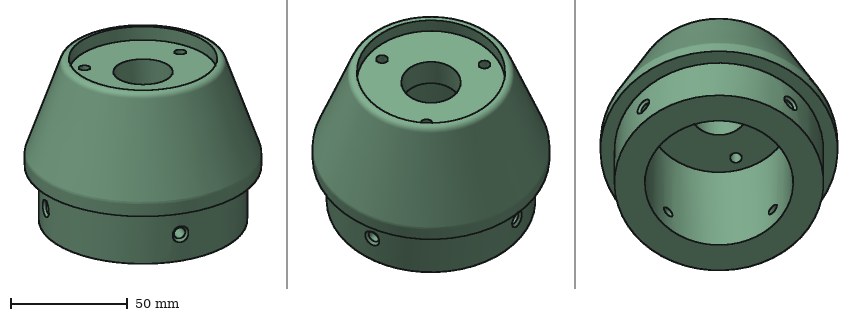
import cadquery as cq

total_height = 76.2
flange_diameter = 101.6
top_diameter = 69.85
edge_radius = 3.175

spigot_diameter = 89.53
spigot_radius = spigot_diameter / 2
spigot_height = 25.4
flange_thickness = 6.35
cone_start_height = spigot_height + flange_thickness

recess_diameter = 63.5
recess_depth = 6.35
web_thickness = 12.7
cavity_diameter = recess_diameter
web_top = total_height - recess_depth
web_bottom = web_top - web_thickness

center_hole_diameter = 25.4
bolt_hole_diameter = 4.98
bolt_circle_diameter = 50.8
bolt_hole_count = 3

radial_hole_diameter = 5.11
countersink_diameter = 7.62
countersink_depth = (countersink_diameter - radial_hole_diameter) / 2
radial_hole_height = spigot_height / 2
radial_hole_count = 4


def make_body():
    """Revolved spigot, flange and cone with rounded cone edges."""
    flange_radius = flange_diameter / 2
    profile = (
        cq.Workplane("XZ")
        .moveTo(0, 0)
        .lineTo(spigot_radius, 0)
        .lineTo(spigot_radius, spigot_height)
        .lineTo(flange_radius, spigot_height)
        .lineTo(flange_radius, cone_start_height)
        .lineTo(top_diameter / 2, total_height)
        .lineTo(0, total_height)
        .close()
    )
    body = profile.revolve(360, (0, 0, 0), (0, 1, 0))
    body = body.faces(">Z").edges().fillet(edge_radius)
    cone_base_band = cq.selectors.BoxSelector(
        (-flange_radius, -flange_radius, spigot_height + flange_thickness / 2),
        (flange_radius, flange_radius, cone_start_height + flange_thickness / 2),
    )
    return body.edges("%CIRCLE").edges(cone_base_band).fillet(edge_radius)


def vertical_cylinder(diameter, bottom, top):
    """Cylinder on the part axis between two heights."""
    return cq.Workplane("XY").workplane(offset=bottom).circle(diameter / 2).extrude(top - bottom)


def make_bolt_holes():
    """Ring of small holes through the web, the first one on +X."""
    return (
        cq.Workplane("XY")
        .workplane(offset=web_bottom)
        .polarArray(bolt_circle_diameter / 2, 0, 360, bolt_hole_count)
        .circle(bolt_hole_diameter / 2)
        .extrude(web_thickness)
    )


def make_radial_hole(angle):
    """Drill and countersink from the spigot surface to the part axis."""
    mouth = cq.Vector(spigot_radius, 0, radial_hole_height)
    inward = cq.Vector(-1, 0, 0)
    drill = cq.Solid.makeCylinder(radial_hole_diameter / 2, spigot_radius, mouth, inward)
    countersink = cq.Solid.makeCone(
        countersink_diameter / 2, radial_hole_diameter / 2, countersink_depth, mouth, inward
    )
    return cq.Workplane(drill.fuse(countersink)).rotate((0, 0, 0), (0, 0, 1), angle)


result = make_body()
result = result.cut(vertical_cylinder(recess_diameter, web_top, total_height))
result = result.cut(vertical_cylinder(cavity_diameter, 0, web_bottom))
result = result.cut(vertical_cylinder(center_hole_diameter, web_bottom, web_top))
result = result.cut(make_bolt_holes())
for index in range(radial_hole_count):
    result = result.cut(make_radial_hole(index * 360 / radial_hole_count))